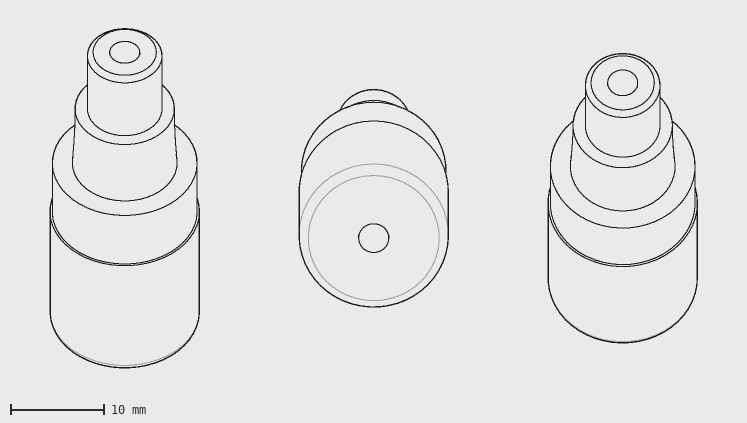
import cadquery as cq

total_height = 41.25
bore_radius = 1.6

sleeve_radius = 8.0
sleeve_height = 16.5
sleeve_edge_radius = 1.0

collar_radius = 7.75
collar_top = 24.05
neck_base_radius = 5.6
neck_top_radius = 5.32
neck_top = 32.5
spigot_radius = 4.0
spigot_chamfer_height = 0.55
spigot_chamfer_width = 0.6


def make_sleeve():
    """Bored cylinder with a rounded bottom edge."""
    cylinder = cq.Workplane("XY").circle(sleeve_radius).extrude(sleeve_height)
    rounded = cylinder.faces("<Z").edges().fillet(sleeve_edge_radius)
    bore = cq.Workplane("XY").circle(bore_radius).extrude(sleeve_height)
    return rounded.cut(bore)


def make_stem():
    """Bored, stepped stem revolved about the Z axis."""
    neck_middle_radius = neck_top_radius + (neck_base_radius - neck_top_radius) / 4
    neck_middle = (neck_middle_radius, (neck_top + collar_top) / 2)
    profile = (
        cq.Workplane("XZ")
        .moveTo(bore_radius, sleeve_height)
        .lineTo(bore_radius, total_height)
        .lineTo(spigot_radius - spigot_chamfer_width, total_height)
        .lineTo(spigot_radius, total_height - spigot_chamfer_height)
        .lineTo(spigot_radius, neck_top)
        .lineTo(neck_top_radius, neck_top)
        .threePointArc(neck_middle, (neck_base_radius, collar_top))
        .lineTo(collar_radius, collar_top)
        .lineTo(collar_radius, sleeve_height)
        .close()
    )
    return profile.revolve(360, (0, 0), (0, 1))


sleeve = make_sleeve()
stem = make_stem()

result = cq.Compound.makeCompound([sleeve.val(), stem.val()])